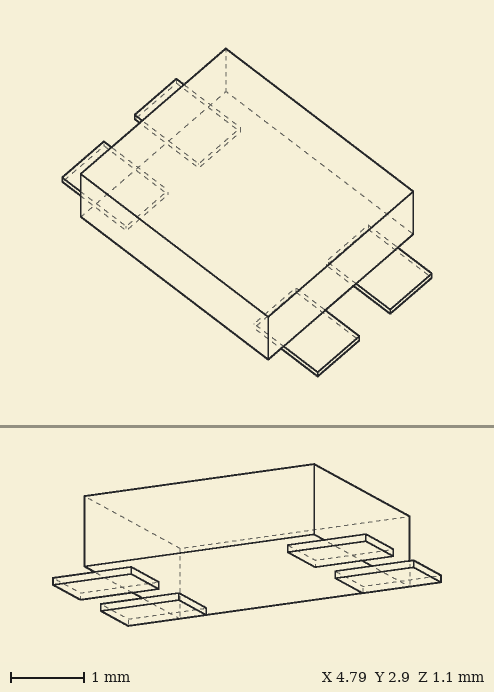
import cadquery as cq

overall_length = 4.79
overall_height = 1.1

lead_length = 1.198
lead_width = 0.835
lead_thickness = 0.1
lead_pitch = 1.445

body_length = 3.515
body_width = 2.9
body_height = overall_height - lead_thickness


def make_body():
    """Block whose underside lies on top of the leads."""
    return (
        cq.Workplane("XY")
        .workplane(offset=lead_thickness)
        .rect(body_length, body_width)
        .extrude(body_height)
    )


def make_lead(x_side, y_side):
    """Flat lead at one corner; each side is -1 or +1."""
    center_x = x_side * (overall_length - lead_length) / 2
    center_y = y_side * lead_pitch / 2
    return (
        cq.Workplane("XY")
        .center(center_x, center_y)
        .rect(lead_length, lead_width)
        .extrude(lead_thickness)
    )


body = make_body()
leads = [make_lead(x_side, y_side) for x_side in (-1, 1) for y_side in (-1, 1)]

result = cq.Compound.makeCompound([body.val(), *[lead.val() for lead in leads]])